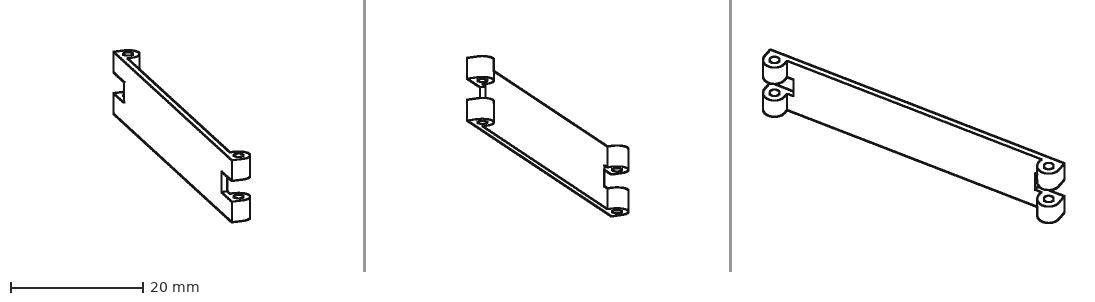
import cadquery as cq

length = 51.5
height = 10.0
plate_thickness = 1.0

knuckle_width = 3.5
knuckle_radius = knuckle_width / 2
pin_diameter = 1.5
pin_x = length / 2 - knuckle_radius
pin_y = knuckle_radius

notch_depth = 4.6
notch_height = height / 3


def upright_box(size_x, size_y, size_z, center_x):
    """Box resting on the front face plane, centred in Z."""
    box = cq.Workplane("XY").box(size_x, size_y, size_z, centered=(True, False, True))
    return box.translate((center_x, 0, 0))


def upright_cylinder(radius, center_x):
    """Full-height cylinder on the pin axis."""
    return cq.Workplane("XY").center(center_x, pin_y).circle(radius).extrude(height / 2, both=True)


result = upright_box(length, plate_thickness, height, 0)

for side in (-1, 1):
    result = result.union(upright_box(knuckle_width, pin_y, height, side * pin_x))
    result = result.union(upright_cylinder(knuckle_radius, side * pin_x))

    result = result.cut(upright_cylinder(pin_diameter / 2, side * pin_x))
    notch_x = side * (length - notch_depth) / 2
    result = result.cut(upright_box(notch_depth, knuckle_width, notch_height, notch_x))